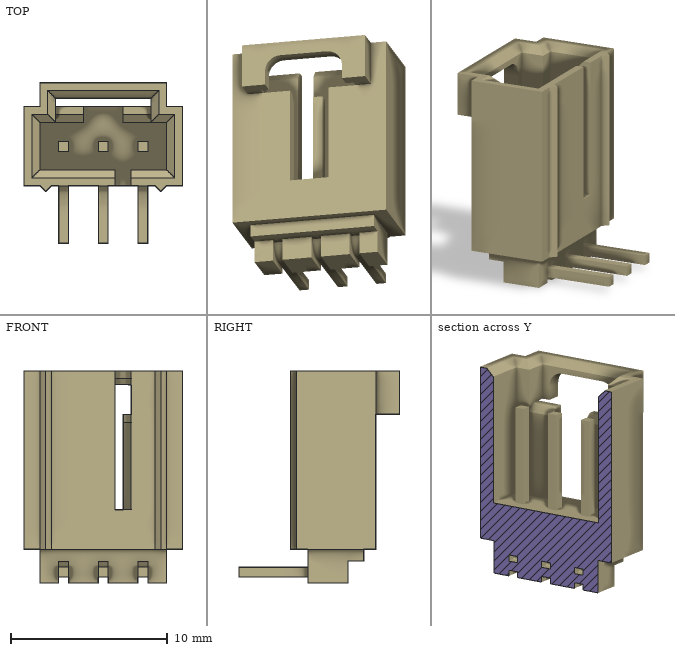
import cadquery as cq


pitch = 2.54
pin_count = 3
body_length = 4 * pitch
body_width = 2 * pitch
body_height = 11.43
foot_height = 2.16
wall = 1.016
rim_chamfer = wall / 2
cavity_depth = 8.89

latch_length = 8.128
latch_projection = 1.524
latch_height = 2.794
window_width = 5.08
window_drop = 0.889
window_corner_radius = 1.016

front_slot_left = 0.762
front_slot_width = 1.016
back_slot_width = 2.54

rib_projection = 0.381
rib_tip_x = latch_length / 2 - rib_projection

foot_length = latch_length
foot_front_inset = 0.737
foot_back_inset = 0.762
foot_step_height = 0.762
foot_back_y = 0.762

pin_size = 0.635
pin_row_y = -0.025
pin_clearance = 0.381
bend_inner_radius = 0.381
pin_top_drop = 2.54
tail_reach = 3.683

body_bottom = foot_height
body_top = body_bottom + body_height
cavity_floor = body_top - cavity_depth
latch_bottom = body_top - latch_height
window_top = body_top - window_drop
front_y = -body_width / 2
back_y = body_width / 2
latch_back_y = back_y + latch_projection
pin_positions = [(i - (pin_count - 1) / 2) * pitch for i in range(pin_count)]


def block(x_range, y_range, z_range):
    """Rectangular block between the given limits."""
    size = [limits[1] - limits[0] for limits in (x_range, y_range, z_range)]
    corner = (x_range[0], y_range[0], z_range[0])
    return cq.Workplane("XY").box(*size, centered=False).translate(corner)


def centred_block(length, y_range, z_range):
    """Rectangular block centred on X = 0."""
    return block((-length / 2, length / 2), y_range, z_range)


def beveled_pocket(length, y_range, floor, rim):
    """Pocket volume open at the rim, where its four edges are chamfered outward."""
    straight = centred_block(length, y_range, (floor, rim))
    width = y_range[1] - y_range[0]
    mouth = (
        cq.Workplane("XY", origin=(0, sum(y_range) / 2, rim))
        .rect(length + 2 * rim_chamfer, width + 2 * rim_chamfer)
        .workplane(offset=-rim_chamfer)
        .rect(length, width)
        .loft(ruled=True)
    )
    return straight.union(mouth)


def shroud():
    """Outer body and latch housing, hollowed from above."""
    body = centred_block(body_length, (front_y, back_y), (body_bottom, body_top))
    housing = centred_block(latch_length, (front_y, latch_back_y), (latch_bottom, body_top))
    outer = body.union(housing)

    cavity_length = body_length - 2 * wall
    cavity_y = (front_y + wall, back_y - wall)
    latch_pocket_length = latch_length - 2 * wall
    latch_pocket_y = (front_y + wall, latch_back_y - wall)
    cavity = beveled_pocket(cavity_length, cavity_y, cavity_floor, body_top)
    latch_pocket = beveled_pocket(latch_pocket_length, latch_pocket_y, latch_bottom, body_top)

    back_wall_bevel = (
        cq.Workplane("YZ", origin=(-latch_pocket_length / 2, 0, 0))
        .moveTo(back_y - wall, latch_bottom)
        .lineTo(back_y - wall + rim_chamfer, latch_bottom)
        .lineTo(back_y - wall, latch_bottom - rim_chamfer)
        .close()
        .extrude(latch_pocket_length)
    )
    return outer.cut(cavity).cut(latch_pocket).cut(back_wall_bevel)


def front_slot():
    """Keying slot through the front wall, down to the cavity floor."""
    x_range = (front_slot_left, front_slot_left + front_slot_width)
    return block(x_range, (front_y, front_y + wall), (cavity_floor, body_top))


def back_slot():
    """Central slot through the lowered back wall, down to the cavity floor."""
    return centred_block(back_slot_width, (back_y - wall, back_y), (cavity_floor, latch_bottom))


def latch_window():
    """Opening in the latch housing with rounded upper corners, open at the bottom."""
    return (
        centred_block(window_width, (latch_back_y - wall, latch_back_y), (latch_bottom, window_top))
        .edges("|Y and >Z")
        .fillet(window_corner_radius)
    )


def guide_rib(tip_x):
    """Full-height triangular rib on the front face."""
    return (
        cq.Workplane("XY", origin=(tip_x, front_y, body_bottom))
        .moveTo(-rib_projection, 0)
        .lineTo(0, -rib_projection)
        .lineTo(rib_projection, 0)
        .close()
        .extrude(body_height)
    )


def foot():
    """Stepped foot with a channel for each pin."""
    foot_front_y = front_y + foot_front_inset
    foot_y = (foot_front_y, foot_back_y)
    lower = centred_block(foot_length, foot_y, (0, foot_height))
    step_y = (foot_front_y, back_y - foot_back_inset)
    step = centred_block(foot_length, step_y, (foot_height - foot_step_height, foot_height))
    solid = lower.union(step)
    channel_top = pin_clearance + pin_size + bend_inner_radius
    for x in pin_positions:
        channel_x = (x - pin_size / 2, x + pin_size / 2)
        solid = solid.cut(block(channel_x, foot_y, (0, channel_top)))
    return solid


def pin(x):
    """Square pin: upright contact, rounded bend and horizontal tail toward -Y."""
    half = pin_size / 2
    contact_front_y = pin_row_y - half
    contact_back_y = pin_row_y + half
    outer_radius = bend_inner_radius + pin_size
    tail_end_y = front_y - tail_reach
    tail_top = pin_clearance + pin_size
    bend_y = contact_back_y - outer_radius
    bend_z = pin_clearance + outer_radius
    tip_z = body_top - pin_top_drop
    return (
        cq.Workplane("YZ", origin=(x - half, 0, 0))
        .moveTo(tail_end_y, pin_clearance)
        .lineTo(bend_y, pin_clearance)
        .radiusArc((contact_back_y, bend_z), -outer_radius)
        .lineTo(contact_back_y, tip_z)
        .lineTo(contact_front_y, tip_z)
        .lineTo(contact_front_y, bend_z)
        .radiusArc((bend_y, tail_top), bend_inner_radius)
        .lineTo(tail_end_y, tail_top)
        .close()
        .extrude(pin_size)
    )


result = shroud().cut(front_slot()).cut(back_slot()).cut(latch_window())
for side in (-1, 1):
    result = result.union(guide_rib(side * rib_tip_x))
result = result.union(foot())
for pin_x in pin_positions:
    result = result.union(pin(pin_x))